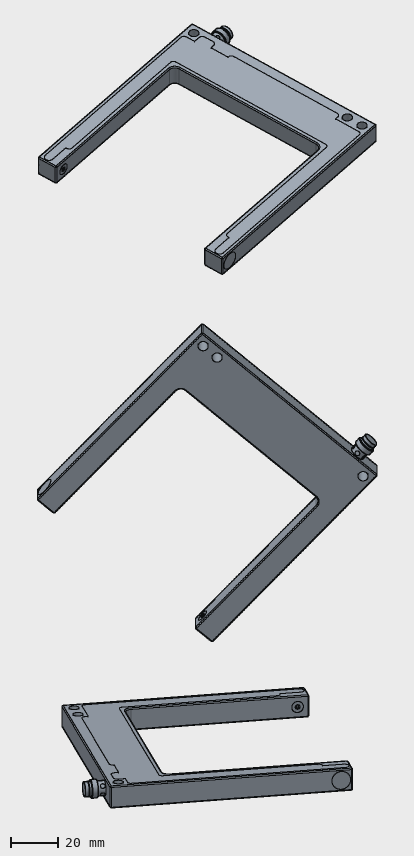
import cadquery as cq

width = 100.0
total_length = 114.0
thickness = 10.0
housing_length = 105.1
fork_width = 80.0
fork_depth = 80.0
fork_corner_radius = 3.0
edge_chamfer = 0.5

tip_y = -total_length / 2
back_y = tip_y + housing_length
fork_end_y = tip_y + fork_depth
half_width = width / 2
half_fork = fork_width / 2
top_z = thickness / 2

mount_hole_diameter = 4.3
mount_hole_inset = 4.5
mount_hole_spacing = 8.0

cover_thickness = 1.1
cover_wall = 1.8
cover_half_width = half_width - cover_wall
cover_fork_margin = 2.0
cover_inner_x = half_fork + cover_fork_margin
cover_inner_y = fork_end_y + cover_fork_margin
cover_corner_radius = 1.5
cover_shoulder_y = 39.9
cover_step_y = 41.2
cover_back_y = 43.0
cover_back_left_x = -25.0
cover_back_right_x = 34.2
cover_tab_width = 7.9
cover_tab_y = 44.7
cover_tab_radius = 1.8
cover_back_radius = 1.5
finger_width = 4.0
finger_start_y = -45.1
finger_end_y = -56.1
pick_reach = 0.01

optics_y = tip_y + 5.0
plug_diameter = 8.1
plug_thickness = 1.1
window_diameter = 5.0
window_thickness = 1.1
window_recess_diameter = 2.0
window_recess_depth = 0.06
aperture_diameter = 1.0
aperture_depth = 0.1

connector_x = -38.2
connector_length = total_length - housing_length
neck_diameter = 6.7
neck_length = 3.3
ring_diameter = 8.1
ring_length = 2.7
ring_chamfer = 0.2
nose_diameter = 6.5
nose_chamfer = 0.1
lip_diameter = 6.7
lip_width = 0.3
lip_distance_from_end = 1.6
dimple_count = 5
dimple_diameter = 2.0
dimple_depth = 0.2
dimple_distance = 1.3


def disc_along_x(diameter, length, start_x):
    """A cylinder on the optical axis, running from start_x toward +X."""
    plane = cq.Workplane("YZ", origin=(start_x, optics_y, 0))
    return plane.circle(diameter / 2).extrude(length)


def mirrored(body):
    """The same body on the opposite arm."""
    return body.mirror("YZ")


def round_corners(plate, corners, radius):
    """Round the vertical edges that stand at the given (x, y) corners."""
    for x, y in corners:
        near = cq.selectors.BoxSelector(
            (x - pick_reach, y - pick_reach, -top_z), (x + pick_reach, y + pick_reach, top_z)
        )
        plate = plate.edges("|Z").edges(near).fillet(radius)
    return plate


def make_cover():
    """The plate that covers the web and both arms, narrowing to a finger at each tip."""
    tab_left = connector_x - cover_tab_width / 2
    tab_right = connector_x + cover_tab_width / 2
    finger_inner_x = cover_half_width - finger_width
    finger_radius = finger_width / 2
    finger_arc_y = finger_end_y + finger_radius
    finger_middle_x = cover_half_width - finger_radius
    outline = (
        cq.Workplane("XY", origin=(0, 0, top_z - cover_thickness))
        .moveTo(-cover_half_width, finger_arc_y)
        .lineTo(-cover_half_width, cover_shoulder_y)
        .lineTo(tab_left, cover_shoulder_y)
        .lineTo(tab_left, cover_tab_y)
        .lineTo(tab_right, cover_tab_y)
        .lineTo(tab_right, cover_step_y)
        .lineTo(cover_back_left_x, cover_step_y)
        .lineTo(cover_back_left_x, cover_back_y)
        .lineTo(cover_back_right_x, cover_back_y)
        .lineTo(cover_back_right_x, cover_shoulder_y)
        .lineTo(cover_half_width, cover_shoulder_y)
        .lineTo(cover_half_width, finger_arc_y)
        .threePointArc((finger_middle_x, finger_end_y), (finger_inner_x, finger_arc_y))
        .lineTo(finger_inner_x, finger_start_y)
        .lineTo(cover_inner_x, finger_start_y)
        .lineTo(cover_inner_x, cover_inner_y)
        .lineTo(-cover_inner_x, cover_inner_y)
        .lineTo(-cover_inner_x, finger_start_y)
        .lineTo(-finger_inner_x, finger_start_y)
        .lineTo(-finger_inner_x, finger_arc_y)
        .threePointArc((-finger_middle_x, finger_end_y), (-cover_half_width, finger_arc_y))
        .close()
    )
    plate = outline.extrude(cover_thickness)

    main_corners = [
        (side * x, y)
        for side in (-1, 1)
        for x, y in (
            (cover_half_width, cover_shoulder_y),
            (cover_inner_x, cover_inner_y),
            (cover_inner_x, finger_start_y),
        )
    ]
    plate = round_corners(plate, main_corners, cover_corner_radius)
    plate = round_corners(plate, [(tab_left, cover_tab_y), (tab_right, cover_tab_y)], cover_tab_radius)
    back_corners = [(cover_back_left_x, cover_back_y), (cover_back_right_x, cover_back_y)]
    return round_corners(plate, back_corners, cover_back_radius)


def make_plug():
    """The plug in the outer face of the -X arm."""
    return disc_along_x(plug_diameter, plug_thickness, -half_width)


def window_blank():
    """The full window disc, which is also the shape of its pocket."""
    return disc_along_x(window_diameter, window_thickness, half_fork)


def make_window():
    """The window in the inner face of the +X arm, with a stepped recess."""
    recess = disc_along_x(window_recess_diameter, window_recess_depth, half_fork)
    aperture = disc_along_x(aperture_diameter, aperture_depth, half_fork)
    return window_blank().cut(recess).cut(aperture)


def make_housing(inserts):
    """The fork, with a matching recess for each of the inserts."""
    block = cq.Workplane("XY").box(width, housing_length, thickness)
    block = block.translate((0, tip_y + housing_length / 2, 0))
    gap = cq.Workplane("XY").box(fork_width, 2 * fork_depth, thickness).translate((0, tip_y, 0))
    gap = gap.edges("|Z and >Y").fillet(fork_corner_radius)
    body = block.cut(gap).edges().chamfer(edge_chamfer)

    outer_hole_x = half_width - mount_hole_inset
    hole_xs = (-outer_hole_x, outer_hole_x - mount_hole_spacing, outer_hole_x)
    hole_y = back_y - mount_hole_inset
    holes = (
        cq.Workplane("XY", origin=(0, 0, -top_z))
        .pushPoints([(x, hole_y) for x in hole_xs])
        .circle(mount_hole_diameter / 2)
        .extrude(thickness)
    )
    body = body.cut(holes)
    for insert in inserts:
        body = body.cut(insert)
    return body


def make_connector():
    """A turned body with a ring, a lip and dimples around its neck."""
    neck_end = neck_length
    ring_end = neck_end + ring_length
    lip_end = connector_length - lip_distance_from_end
    lip_start = lip_end - lip_width
    neck_r = neck_diameter / 2
    ring_r = ring_diameter / 2
    nose_r = nose_diameter / 2
    lip_r = lip_diameter / 2
    profile = [
        (0, 0),
        (neck_r, 0),
        (neck_r, neck_end),
        (ring_r - ring_chamfer, neck_end),
        (ring_r, neck_end + ring_chamfer),
        (ring_r, ring_end - ring_chamfer),
        (ring_r - ring_chamfer, ring_end),
        (nose_r, ring_end),
        (nose_r, lip_start),
        (lip_r, lip_start),
        (lip_r, lip_end),
        (nose_r, lip_end),
        (nose_r, connector_length),
        (0, connector_length),
    ]
    body = cq.Workplane("XY").polyline(profile).close().revolve(360, (0, 0), (0, 1))
    body = body.faces(">Y").edges().chamfer(nose_chamfer)
    dimple = (
        cq.Workplane("YZ", origin=(neck_r - dimple_depth, dimple_distance, 0))
        .circle(dimple_diameter / 2)
        .extrude(neck_r)
    )
    for index in range(dimple_count):
        angle = -index * 360 / dimple_count
        body = body.cut(dimple.rotate((0, 0, 0), (0, 1, 0), angle))
    return body.translate((connector_x, back_y, 0))


cover = make_cover()
plugs = [make_plug(), mirrored(make_plug())]
windows = [make_window(), mirrored(make_window())]
window_pockets = [window_blank(), mirrored(window_blank())]
housing = make_housing([cover, *plugs, *window_pockets])
connector = make_connector()

result = cq.Compound.makeCompound(
    [
        housing.val(),
        cover.val(),
        connector.val(),
        *[plug.val() for plug in plugs],
        *[window.val() for window in windows],
    ]
)